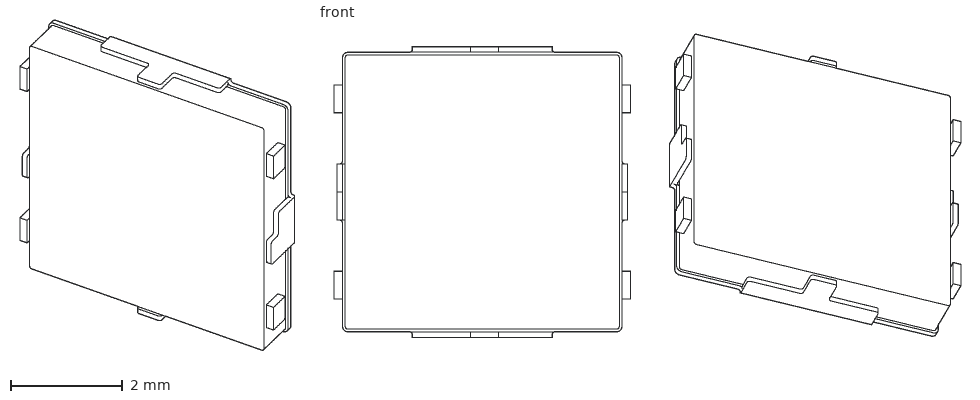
import cadquery as cq

overall_width = 5.3
depth = 0.85

cover_side = 5.0
sheet_thickness = 0.1
cover_front = depth - sheet_thickness
overhang = 0.05
block_side = cover_side - 2 * overhang
cover_corner_radius = 0.1
block_corner_radius = cover_corner_radius - overhang

cover_half = cover_side / 2
small_radius = 0.05

wide_tab_half = 1.25
wide_tab_drop = 0.4
foot_width = 0.5
foot_offset = 0.04

side_tab_half = 0.505
side_tab_drop = 0.6

pad_thickness = (overall_width - cover_side) / 2
pad_length = 0.5
pad_depth = 0.4
pad_height = 1.665


def square_plate(side, y_front, thickness, corner_radius):
    """Square plate in the XZ plane, centred on the Y axis, with rounded corners."""
    return (
        cq.Workplane("XY")
        .box(side, thickness, side, centered=(True, False, True))
        .edges("|Y")
        .fillet(corner_radius)
        .translate((0, y_front, 0))
    )


def bent_strip(half_width, bend_side):
    """Wall down to Y = 0 along the upper cover edge, with one side of its bend rounded."""
    wall = cq.Workplane("XY").box(
        2 * half_width, depth, sheet_thickness, centered=(True, False, False)
    ).translate((0, 0, cover_half))
    if bend_side == "outer":
        return wall.edges(">Y and >Z").fillet(small_radius)
    inner_fillet = (
        cq.Workplane("YZ", origin=(-half_width, 0, 0))
        .moveTo(cover_front, cover_half)
        .lineTo(cover_front - small_radius, cover_half)
        .radiusArc((cover_front, cover_half - small_radius), small_radius)
        .close()
        .extrude(2 * half_width)
    )
    return wall.union(inner_fillet)


def wall_outline(points):
    """Rounded wall shape in XY, extruded through the height of the bent strip."""
    return (
        cq.Workplane("XY", origin=(0, 0, cover_half - small_radius))
        .polyline(points)
        .close()
        .extrude(sheet_thickness + small_radius)
        .edges("|Z and (not >Y)")
        .fillet(small_radius)
    )


def root_fillets(half_width):
    """Concave fillets, as deep as the sheet, where the two tab sides leave the cover edge."""
    fillets = cq.Workplane("XY")
    for side in (-1, 1):
        root = side * half_width
        fillets = fillets.add(
            cq.Workplane("XZ", origin=(0, depth, 0))
            .moveTo(root, cover_half)
            .lineTo(root + side * small_radius, cover_half)
            .radiusArc((root, cover_half + small_radius), side * small_radius)
            .close()
            .extrude(sheet_thickness)
        )
    return fillets.combine()


def bent_tab(points, half_width, bend_side):
    """Tab on the upper (+Z) cover edge with the given wall outline."""
    wall = bent_strip(half_width, bend_side).intersect(wall_outline(points))
    return wall.union(root_fillets(half_width))


def wide_tab():
    """Upper tab: a wide band with one narrow foot."""
    step = depth - wide_tab_drop
    foot_left = foot_offset - foot_width / 2
    foot_right = foot_offset + foot_width / 2
    return bent_tab(
        [
            (-wide_tab_half, depth),
            (-wide_tab_half, step),
            (foot_left, step),
            (foot_left, 0),
            (foot_right, 0),
            (foot_right, step),
            (wide_tab_half, step),
            (wide_tab_half, depth),
        ],
        wide_tab_half,
        "outer",
    )


def side_tab(bend_side):
    """Side tab for the -X cover edge, made on the upper edge and turned about Y."""
    step = depth - side_tab_drop
    return bent_tab(
        [
            (-side_tab_half, depth),
            (-side_tab_half, 0),
            (0, 0),
            (0, step),
            (side_tab_half, step),
            (side_tab_half, depth),
        ],
        side_tab_half,
        bend_side,
    ).rotate((0, 0, 0), (0, 1, 0), -90)


def make_housing():
    """Block, cover plate and its four bent tabs as one body."""
    body = square_plate(block_side, 0, cover_front, block_corner_radius)
    cover = square_plate(cover_side, cover_front, sheet_thickness, cover_corner_radius)
    body = body.union(cover)
    left_tab = side_tab("inner")
    right_tab = side_tab("outer").mirror("YZ")
    for tab in (wide_tab(), wide_tab().mirror("XY"), left_tab, right_tab):
        body = body.union(tab)
    return body


def make_pad(side, height):
    """Contact pad standing clear of the block on one side."""
    centre_x = side * (cover_half + pad_thickness / 2)
    return (
        cq.Workplane("XY")
        .box(pad_thickness, pad_depth, pad_length, centered=(True, False, True))
        .translate((centre_x, 0, height))
    )


housing = make_housing()

pads = []
for side in (-1, 1):
    for height in (-pad_height, pad_height):
        pads.append(make_pad(side, height).val())

result = cq.Compound.makeCompound([housing.val(), *pads])